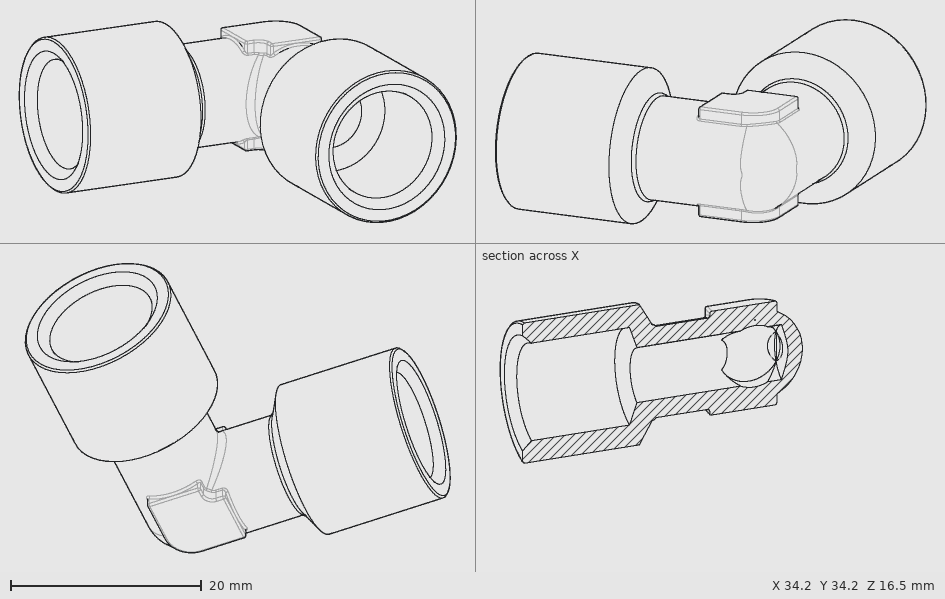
import cadquery as cq
import math

arm_length = 26.0
neck_radius = 11.0 / 2
socket_radius = 16.5 / 2
socket_length = 13.13
shoulder_angle = math.radians(60)
shoulder_fillet = 0.5
rim_chamfer = 0.2

heel_fillet = 4.3
throat_fillet = 0.7

pad_height = 6.0
pad_half_width = 3.0
pad_reach = 5.0
pad_notch_fillet = 1.0
pad_notch_end = pad_half_width + pad_notch_fillet
pad_fillet = 0.24

thread_radius = 11.6 / 2
thread_depth = 12.0
mouth_radius = 13.6 / 2
mouth_angle = math.radians(45)
passage_radius = 7.0 / 2
passage_overrun = 3.05
drill_angle = math.radians(70)

socket_start = arm_length - socket_length
cone_start = socket_start - (socket_radius - neck_radius) / math.tan(shoulder_angle)
fillet_tangent = shoulder_fillet * math.tan(shoulder_angle / 2)
neck_end = cone_start - fillet_tangent


def on_both_arms(profile):
    """Revolve a (radius, distance) profile about Y; return it placed on the -Y and the +X arm."""
    body = profile.close().revolve(360, (0, 0), (0, 1))
    return body.mirror("XZ"), body.rotate((0, 0, 0), (0, 0, 1), -90)


def make_necks():
    """Two round necks mitred together along the plane y = -x."""
    far = 2 * arm_length
    profile = (
        cq.Workplane("ZY")
        .moveTo(0, -neck_radius)
        .lineTo(neck_radius, -neck_radius)
        .lineTo(neck_radius, neck_end)
        .lineTo(0, neck_end)
    )
    front_neck, side_neck = on_both_arms(profile)
    front_half = cq.Workplane("XY").polyline([(-far, far), (-far, -far), (far, -far)]).close()
    side_half = cq.Workplane("XY").polyline([(-far, far), (far, far), (far, -far)]).close()
    front_neck = front_neck.intersect(front_half.extrude(far, both=True))
    side_neck = side_neck.intersect(side_half.extrude(far, both=True))
    return front_neck.union(side_neck)


def make_pad():
    """Upper pad: a square with one round corner and one notched corner, reaching into the neck."""
    pad = (
        cq.Workplane("XY")
        .moveTo(-pad_half_width, 0)
        .radiusArc((0, pad_half_width), pad_half_width)
        .lineTo(pad_reach, pad_half_width)
        .lineTo(pad_reach, -pad_half_width)
        .lineTo(pad_notch_end, -pad_half_width)
        .radiusArc((pad_half_width, -pad_notch_end), -pad_notch_fillet)
        .lineTo(pad_half_width, -pad_reach)
        .lineTo(-pad_half_width, -pad_reach)
        .close()
        .extrude(pad_height)
    )
    return pad.edges("|Z and (>X or <Y)").fillet(pad_fillet)


def make_elbow():
    """Mitred necks with both pads, rounded at the heel, the throat and around the pads."""
    pad = make_pad()
    elbow = make_necks().union(pad).union(pad.mirror("XY"))

    near = neck_radius
    heel = cq.selectors.BoxSelector((-near, 0, -near), (0, near, near))
    throat = cq.selectors.BoxSelector((0, -near, -near), (near, 0, near))
    elbow = elbow.edges(heel).edges("%ELLIPSE").fillet(heel_fillet)
    elbow = elbow.edges(throat).edges("%ELLIPSE").fillet(throat_fillet)

    foot_low = math.sqrt(neck_radius**2 - pad_notch_end**2)
    upper_foot = cq.selectors.BoxSelector((-near, -near, foot_low), (near, near, near))
    lower_foot = cq.selectors.BoxSelector((-near, -near, -near), (near, near, -foot_low))
    elbow = elbow.edges(upper_foot + lower_foot).edges("not |Z").fillet(pad_fillet)
    return elbow.faces(">Z or <Z").edges().fillet(pad_fillet)


def make_sockets():
    """Shoulder cone and socket of each arm, blended into the neck and chamfered at the rim."""
    blend_radius = neck_radius + fillet_tangent * math.sin(shoulder_angle)
    blend_end = cone_start + fillet_tangent * math.cos(shoulder_angle)
    profile = (
        cq.Workplane("ZY")
        .moveTo(0, neck_end)
        .lineTo(neck_radius, neck_end)
        .radiusArc((blend_radius, blend_end), -shoulder_fillet)
        .lineTo(socket_radius, socket_start)
        .lineTo(socket_radius, arm_length - rim_chamfer)
        .lineTo(socket_radius - rim_chamfer, arm_length)
        .lineTo(0, arm_length)
    )
    return on_both_arms(profile)


def make_bores():
    """Countersunk thread bore of each arm with the passage drilled past the crossing of the axes."""
    mouth_depth = (mouth_radius - thread_radius) / math.tan(mouth_angle)
    thread_end = arm_length - thread_depth
    step_end = thread_end - (thread_radius - passage_radius) / math.tan(drill_angle)
    drill_point = passage_overrun + passage_radius / math.tan(drill_angle)
    profile = (
        cq.Workplane("ZY")
        .moveTo(0, -drill_point)
        .lineTo(passage_radius, -passage_overrun)
        .lineTo(passage_radius, step_end)
        .lineTo(thread_radius, thread_end)
        .lineTo(thread_radius, arm_length - mouth_depth)
        .lineTo(mouth_radius, arm_length)
        .lineTo(0, arm_length)
    )
    return on_both_arms(profile)


result = make_elbow()
for socket in make_sockets():
    result = result.union(socket)
for bore in make_bores():
    result = result.cut(bore)